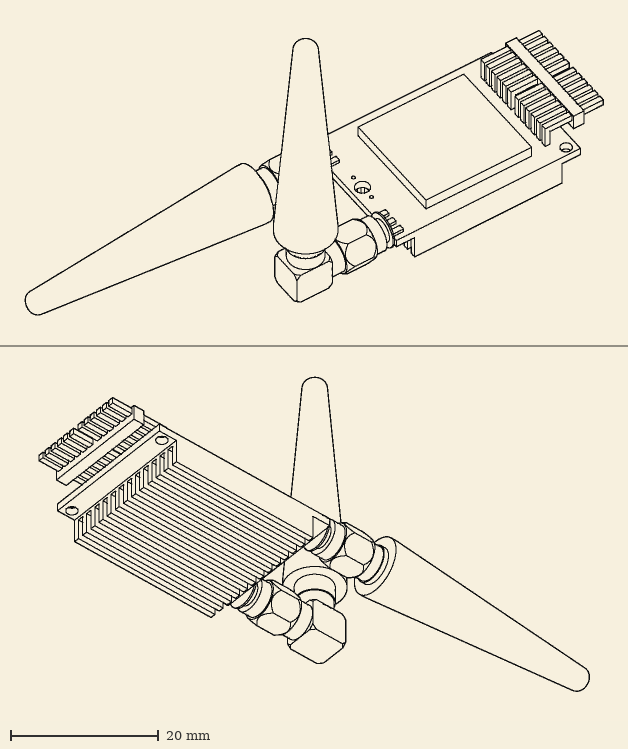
import cadquery as cq
import math


BOARD_WIDTH = 21.4
BOARD_LENGTH = 30.2
BOARD_THICKNESS = 1.25
CORNER_HOLE_DIAMETER = 1.7
CORNER_HOLE_X = 9.45
CORNER_HOLE_Y = 28.7
CENTRE_HOLE_DIAMETER = 2.2
VIA_DIAMETER = 0.5
VIA_X = 2.2
FRONT_HOLES_Y = 1.75

SHIELD_WIDTH = 16.3
SHIELD_LENGTH = 17.3
SHIELD_HEIGHT = 1.75
SHIELD_FRONT_Y = 6.6

SINK_FRONT_Y = 3.0
SINK_LENGTH = 24.2
SINK_HEIGHT = 3.85
SINK_BASE_THICKNESS = 0.5
FIN_COUNT = 13
FIN_THICKNESS = 0.8

PIN_WIDTH = 0.8
PINS_PER_GROUP = 6
PIN_GROUP_SPAN = 6.4
PIN_GROUP_GAP = 1.75
PIN_FRONT_Y = 26.4
PIN_BACK_Y = 36.0
PIN_TOP_HEIGHT = 3.5
PIN_ARM_THICKNESS = 1.0
PIN_LEG_THICKNESS = 0.75
BAR_BACK_Y = 32.5
BAR_LENGTH = 1.75
BAR_BOTTOM_HEIGHT = 1.25
BAR_HEIGHT = 2.5

AXIS_SPACING = 15.4
AXIS_Z = 0.75
FLANGE_THICKNESS = 0.25
NECK_DIAMETER = 3.5
NECK_LENGTH = 1.0
BARREL_DIAMETER = 5.3
RING_LENGTH = 1.75
NUT_ACROSS_FLATS = 5.9
NUT_LENGTH = 5.0
NUT_END_DIAMETER = 5.85
NUT_CHAMFER_LENGTH = 1.0
SLEEVE_LENGTH = 1.75
HUB_DIAMETER = 5.6
HUB_LENGTH = 0.75
CONTACT_PITCH = 1.75
CONTACT_WIDTH = 0.8
CONTACT_LENGTH = 1.75
CONTACT_HEIGHT = 0.5

ELBOW_AXIS_Y = -12.8
ELBOW_BACK = 2.6
ELBOW_FRONT = 3.3
ELBOW_WIDTH = 5.35
ELBOW_HEIGHT = 5.35
ELBOW_TRIM_RADIUS = 4.4
STEM_TOP = 5.0
UPRIGHT_BASE = 7.7

WHIP_LENGTH = 37.1
WHIP_BASE_DIAMETER = 8.8
WHIP_COLLAR_LENGTH = 0.9
WHIP_TIP_DIAMETER = 3.5
TIP_ROUND_RADIUS = 1.25

BOARD_TOP = BOARD_THICKNESS
NECK_START = FLANGE_THICKNESS
RING_START = NECK_START + NECK_LENGTH
NUT_START = RING_START + RING_LENGTH
SLEEVE_START = NUT_START + NUT_LENGTH
HUB_START = SLEEVE_START + SLEEVE_LENGTH
WHIP_START = HUB_START + HUB_LENGTH


def block(width, length, height, x_centre, y_front, z_bottom):
    """Box centred on x_centre, reaching back from y_front and up from z_bottom."""
    box = cq.Workplane("XY").box(width, length, height, centered=(True, False, False))
    return box.translate((x_centre, y_front, z_bottom))


def cylinder(diameter, start, end):
    """Round bar along +Z between two heights."""
    return cq.Workplane("XY").workplane(offset=start).circle(diameter / 2).extrude(end - start)


def make_board():
    board = block(BOARD_WIDTH, BOARD_LENGTH, BOARD_THICKNESS, 0, 0, 0)
    corner_points = [(-CORNER_HOLE_X, CORNER_HOLE_Y), (CORNER_HOLE_X, CORNER_HOLE_Y)]
    via_points = [(-VIA_X, FRONT_HOLES_Y), (VIA_X, FRONT_HOLES_Y)]
    hole_sets = [
        (CORNER_HOLE_DIAMETER, corner_points),
        (CENTRE_HOLE_DIAMETER, [(0, FRONT_HOLES_Y)]),
        (VIA_DIAMETER, via_points),
    ]
    for diameter, points in hole_sets:
        holes = cq.Workplane("XY").pushPoints(points).circle(diameter / 2).extrude(BOARD_THICKNESS)
        board = board.cut(holes)
    shield = block(SHIELD_WIDTH, SHIELD_LENGTH, SHIELD_HEIGHT, 0, SHIELD_FRONT_Y, BOARD_TOP)
    return board.union(shield)


def make_heat_sink():
    """Base plate with fins running front to back."""
    sink = block(BOARD_WIDTH, SINK_LENGTH, SINK_BASE_THICKNESS, 0, SINK_FRONT_Y, -SINK_BASE_THICKNESS)
    fin_span = BOARD_WIDTH - FIN_THICKNESS
    for i in range(FIN_COUNT):
        fin_x = -fin_span / 2 + i * fin_span / (FIN_COUNT - 1)
        sink = sink.union(block(FIN_THICKNESS, SINK_LENGTH, SINK_HEIGHT, fin_x, SINK_FRONT_Y, -SINK_HEIGHT))
    return sink


def make_pin_header():
    header = block(SHIELD_WIDTH, BAR_LENGTH, BAR_HEIGHT, 0, BAR_BACK_Y - BAR_LENGTH,
                   BOARD_TOP + BAR_BOTTOM_HEIGHT)
    pin_top = BOARD_TOP + PIN_TOP_HEIGHT
    arm_bottom = pin_top - PIN_ARM_THICKNESS
    leg_back_y = PIN_FRONT_Y + PIN_LEG_THICKNESS
    pin_outline = [
        (PIN_FRONT_Y, BOARD_TOP),
        (leg_back_y, BOARD_TOP),
        (leg_back_y, arm_bottom),
        (PIN_BACK_Y, arm_bottom),
        (PIN_BACK_Y, pin_top),
        (PIN_FRONT_Y, pin_top),
    ]
    pin = cq.Workplane("YZ").polyline(pin_outline).close().extrude(PIN_WIDTH / 2, both=True)
    for side in (-1, 1):
        for i in range(PINS_PER_GROUP):
            pin_x = PIN_GROUP_GAP / 2 + i * PIN_GROUP_SPAN / (PINS_PER_GROUP - 1)
            header = header.union(pin.translate((side * pin_x, 0, 0)))
    return header


def make_nut():
    """Hexagon nut along +Z whose corners are trimmed by a cone at both ends."""
    corner_diameter = NUT_ACROSS_FLATS / math.cos(math.pi / 6)
    hexagon = cq.Workplane("XY").polygon(6, corner_diameter).extrude(NUT_LENGTH)
    trim_outline = [
        (0, 0),
        (NUT_END_DIAMETER / 2, 0),
        (corner_diameter / 2, NUT_CHAMFER_LENGTH),
        (corner_diameter / 2, NUT_LENGTH - NUT_CHAMFER_LENGTH),
        (NUT_END_DIAMETER / 2, NUT_LENGTH),
        (0, NUT_LENGTH),
    ]
    trim = cq.Workplane("XZ").polyline(trim_outline).close().revolve(360, (0, 0, 0), (0, 1, 0))
    return hexagon.intersect(trim)


def make_connector(sleeve_end):
    """Flange, neck, ring, nut and sleeve stacked along +Z."""
    flange = cylinder(BARREL_DIAMETER, 0, FLANGE_THICKNESS)
    connector = flange.union(cylinder(NECK_DIAMETER, NECK_START, RING_START))
    connector = connector.union(cylinder(BARREL_DIAMETER, RING_START, NUT_START))
    connector = connector.union(make_nut().translate((0, 0, NUT_START)))
    return connector.union(cylinder(BARREL_DIAMETER, SLEEVE_START, sleeve_end))


def make_whip():
    """Tapered antenna along +Z with a straight collar and a rounded tip."""
    base_radius = WHIP_BASE_DIAMETER / 2
    tip_radius = WHIP_TIP_DIAMETER / 2
    flat_radius = tip_radius - TIP_ROUND_RADIUS
    round_start = WHIP_LENGTH - TIP_ROUND_RADIUS
    round_offset = TIP_ROUND_RADIUS * math.sin(math.pi / 4)
    return (
        cq.Workplane("XZ")
        .lineTo(base_radius, 0)
        .lineTo(base_radius, WHIP_COLLAR_LENGTH)
        .lineTo(tip_radius, round_start)
        .threePointArc((flat_radius + round_offset, round_start + round_offset), (flat_radius, WHIP_LENGTH))
        .lineTo(0, WHIP_LENGTH)
        .close()
        .revolve(360, (0, 0, 0), (0, 1, 0))
    )


def point_forward(stack, x_centre):
    """Turn a stack built along +Z to point along -Y from the board's front edge."""
    return stack.rotate((0, 0, 0), (1, 0, 0), 90).translate((x_centre, 0, AXIS_Z))


def make_straight_antenna(x_centre):
    stack = make_connector(HUB_START)
    stack = stack.union(cylinder(HUB_DIAMETER, HUB_START, WHIP_START))
    stack = stack.union(make_whip().translate((0, 0, WHIP_START)))
    return point_forward(stack, x_centre)


def make_upright_antenna(x_centre):
    """Connector ending in an elbow block, its corners trimmed by a sphere, with the whip on top."""
    elbow_length = ELBOW_BACK + ELBOW_FRONT
    elbow = block(ELBOW_WIDTH, elbow_length, ELBOW_HEIGHT, 0, -ELBOW_FRONT, -ELBOW_HEIGHT / 2)
    corner_trim = cq.Workplane("XY").sphere(ELBOW_TRIM_RADIUS)
    elbow_centre_y = (ELBOW_BACK - ELBOW_FRONT) / 2
    upright = elbow.intersect(corner_trim.translate((0, elbow_centre_y, 0)))
    upright = upright.union(cylinder(BARREL_DIAMETER, 0, STEM_TOP))
    upright = upright.union(cylinder(HUB_DIAMETER, STEM_TOP, UPRIGHT_BASE))
    upright = upright.union(make_whip().translate((0, 0, UPRIGHT_BASE)))
    sleeve_end = -ELBOW_AXIS_Y - ELBOW_BACK
    connector = point_forward(make_connector(sleeve_end), x_centre)
    return connector.union(upright.translate((x_centre, ELBOW_AXIS_Y, AXIS_Z)))


def make_contacts(x_centre):
    """Three solder contacts lying on the board behind a connector."""
    contacts = cq.Workplane("XY")
    for i in (-1, 0, 1):
        contact_x = x_centre + i * CONTACT_PITCH
        contacts = contacts.union(
            block(CONTACT_WIDTH, CONTACT_LENGTH, CONTACT_HEIGHT, contact_x, 0, BOARD_TOP)
        )
    return contacts


straight_x = -AXIS_SPACING / 2
upright_x = AXIS_SPACING / 2

result = make_board()
result = result.union(make_heat_sink())
result = result.union(make_pin_header())
for connector_x in (straight_x, upright_x):
    result = result.union(make_contacts(connector_x))
result = result.union(make_straight_antenna(straight_x))
result = result.union(make_upright_antenna(upright_x))